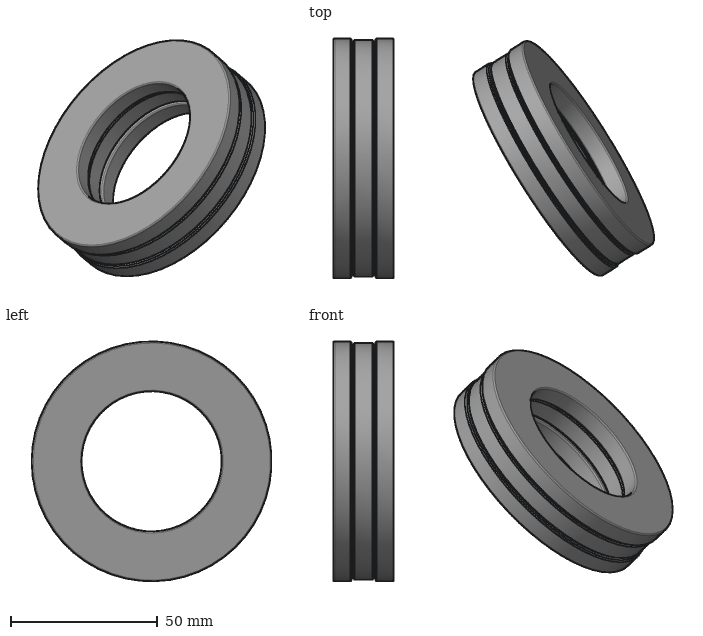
import cadquery as cq

overall_width = 20.62
washer_outer_diameter = 81.76
washer_bore_diameter = 47.62
roller_diameter = 7.92
roller_length = 13.7
roller_count = 4

edge_break = 0.51

washer_thickness = (overall_width - roller_diameter) / 2

cage_outer_diameter = washer_outer_diameter - 2 * edge_break
cage_bore_diameter = washer_bore_diameter + 2 * edge_break
cage_thickness = roller_diameter - 2 * edge_break

roller_centre_radius = (cage_outer_diameter + cage_bore_diameter) / 4


def make_ring(outer_diameter, bore_diameter, thickness):
    """Flat, sharp-edged ring about X, running from X = 0 to X = thickness."""
    return (
        cq.Workplane("YZ")
        .circle(outer_diameter / 2)
        .circle(bore_diameter / 2)
        .extrude(thickness)
    )


def make_washer():
    """Washer on the +X side, with its raceway face resting on the rollers."""
    largest_circle = cq.selectors.RadiusNthSelector(-1)
    smallest_circle = cq.selectors.RadiusNthSelector(0)
    washer = make_ring(washer_outer_diameter, washer_bore_diameter, washer_thickness)
    washer = washer.faces("<X").edges(largest_circle).chamfer(edge_break)
    washer = washer.faces(">X").edges().fillet(edge_break)
    washer = washer.faces("<X").edges(smallest_circle).fillet(edge_break)
    return washer.translate((roller_diameter / 2, 0, 0))


def make_roller(angle):
    """Roller lying along a radius of the bearing, turned about X by angle degrees."""
    return (
        cq.Workplane("XY", origin=(0, 0, roller_centre_radius - roller_length / 2))
        .circle(roller_diameter / 2)
        .extrude(roller_length)
        .edges("%CIRCLE")
        .fillet(edge_break)
        .rotate((0, 0, 0), (1, 0, 0), angle)
    )


def make_cage(rollers):
    """Chamfered ring centred between the washers, with a fitting pocket for each roller."""
    cage = (
        make_ring(cage_outer_diameter, cage_bore_diameter, cage_thickness)
        .edges("%CIRCLE")
        .chamfer(edge_break)
        .translate((-cage_thickness / 2, 0, 0))
    )
    for roller in rollers:
        cage = cage.cut(roller)
    return cage


right_washer = make_washer()
left_washer = right_washer.mirror("YZ")
rollers = [make_roller(index * 360 / roller_count) for index in range(roller_count)]
cage = make_cage(rollers)

result = cq.Compound.makeCompound(
    [body.solids().val() for body in [left_washer, right_washer, cage, *rollers]]
)